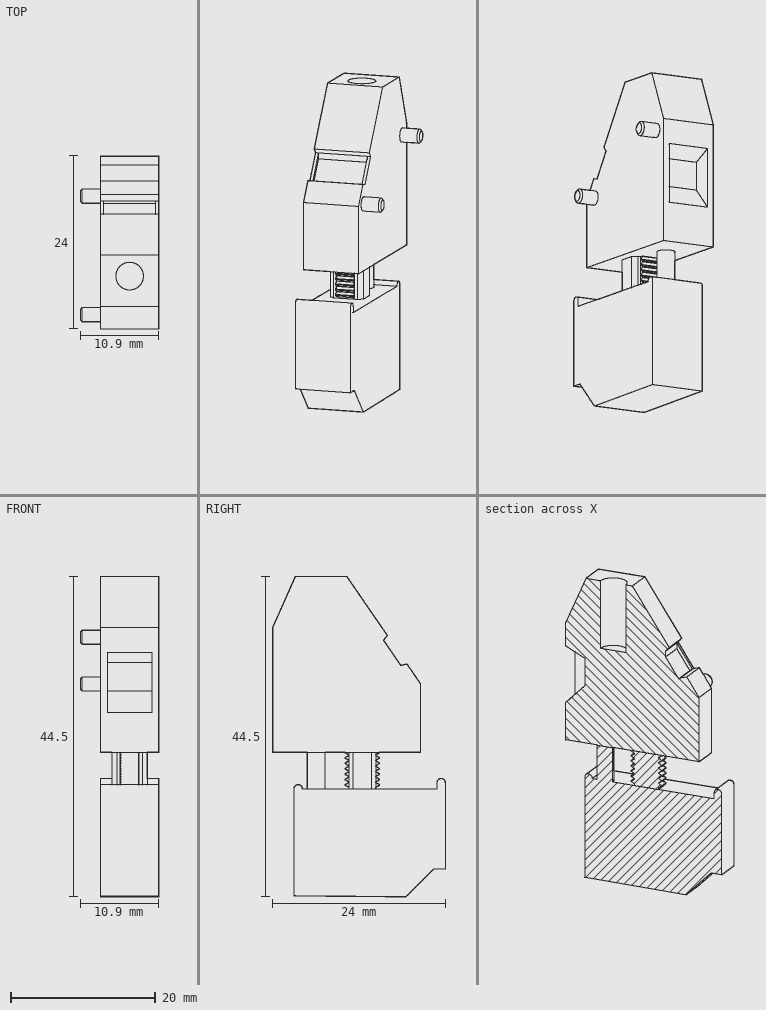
import cadquery as cq

WIDTH = 8.1
MID_X = WIDTH / 2
TOTAL_HEIGHT = 44.5

BASE_FRONT_Y = 2.95
BASE_BACK_Y = 24.0
DECK_Z = 15.0
BASE_FRONT_BOTTOM_Z = 0.13
BEVEL_BOTTOM_Y = 18.5
BEVEL_TOP_Y = 22.35
BEVEL_TOP_Z = 3.85
LIP_RADIUS = 0.6
FRONT_LIP_CENTER_Z = DECK_Z
BACK_LIP_CENTER_Z = 15.85

HOUSING_BOTTOM_Z = 20.05
HOUSING_BACK_Y = 20.54
FRONT_SHOULDER_Z = 37.4
TOP_FRONT_Y = 3.15
TOP_BACK_Y = 10.3
BACK_SHOULDER_Z = 29.6
BACK_SLOPE = (TOTAL_HEIGHT - BACK_SHOULDER_Z) / (HOUSING_BACK_Y - TOP_BACK_Y)

GROOVE_TOP_Y = 15.95
GROOVE_BOTTOM_Y = 18.65
GROOVE_FLOOR_TOP = (15.4, 35.65)
GROOVE_FLOOR_BOTTOM = (17.8, 32.14)

RECESS_SIDE_MARGIN = 0.45
RECESS_DROP = 0.85
RECESS_BEND = (17.07, 32.35)
RECESS_FOOT = (17.44, 31.9)

OPENING_WIDTH = 6.2
OPENING_DEPTH = 3.0
OPENING_BOTTOM_Z = 25.6
OPENING_TOP_Z = 33.95
OPENING_BACK_BOTTOM_Z = 28.6
OPENING_BACK_TOP_Z = 32.55

TOP_HOLE_DIAMETER = 3.84
TOP_HOLE_Y = 7.35
TOP_HOLE_DEPTH = 10.0

PIN_DIAMETER = 2.0
PIN_LENGTH = 2.8
PIN_CHAMFER = 0.27
PIN_CENTERS = [(2.0, 36.05), (18.45, 29.55)]

GAP_HEIGHT = HOUSING_BOTTOM_Z - DECK_Z
ROUND_POST_DIAMETER = 2.5
ROUND_POST_Y = 6.05
TOOTHED_POST_Y = 12.45
TOOTHED_POST_SIZE_X = 4.9
TOOTHED_POST_SIZE_Y = 3.74
TOOTHED_POST_CHAMFER_X = 0.69
TOOTHED_POST_CHAMFER_Y = 0.6
TOOTH_COUNT = 7
TOOTH_PITCH = 0.75
TOOTH_HEIGHT = 0.5
TOOTH_LENGTH = 2.65
TOOTH_ROOT_WIDTH = 0.7
TOOTH_CREST_WIDTH = 0.12


def back_slope_z(y):
    """Height of the housing's sloping back face at a given Y."""
    return TOTAL_HEIGHT - BACK_SLOPE * (y - TOP_BACK_Y)


def prism(points, start_x, width):
    """Extrude a YZ outline along +X from start_x."""
    return cq.Workplane("YZ", origin=(start_x, 0, 0)).polyline(points).close().extrude(width)


def make_base():
    front_lip_inner_y = BASE_FRONT_Y + 2 * LIP_RADIUS
    back_lip_inner_y = BASE_BACK_Y - 2 * LIP_RADIUS
    block = (
        cq.Workplane("YZ")
        .moveTo(BASE_FRONT_Y, BASE_FRONT_BOTTOM_Z)
        .lineTo(BEVEL_BOTTOM_Y, 0)
        .lineTo(BEVEL_TOP_Y, BEVEL_TOP_Z)
        .lineTo(BASE_BACK_Y, BEVEL_TOP_Z)
        .lineTo(BASE_BACK_Y, BACK_LIP_CENTER_Z)
        .threePointArc(
            (BASE_BACK_Y - LIP_RADIUS, BACK_LIP_CENTER_Z + LIP_RADIUS),
            (back_lip_inner_y, BACK_LIP_CENTER_Z),
        )
        .lineTo(back_lip_inner_y, DECK_Z)
        .lineTo(front_lip_inner_y, DECK_Z)
        .threePointArc(
            (BASE_FRONT_Y + LIP_RADIUS, FRONT_LIP_CENTER_Z + LIP_RADIUS),
            (BASE_FRONT_Y, FRONT_LIP_CENTER_Z),
        )
        .close()
        .extrude(WIDTH)
    )
    round_post = (
        cq.Workplane("XY", origin=(MID_X, ROUND_POST_Y, DECK_Z))
        .circle(ROUND_POST_DIAMETER / 2)
        .extrude(GAP_HEIGHT)
    )
    return block.union(round_post)


def make_housing_block():
    outline = [
        (0, HOUSING_BOTTOM_Z),
        (0, FRONT_SHOULDER_Z),
        (TOP_FRONT_Y, TOTAL_HEIGHT),
        (TOP_BACK_Y, TOTAL_HEIGHT),
        (GROOVE_TOP_Y, back_slope_z(GROOVE_TOP_Y)),
        GROOVE_FLOOR_TOP,
        GROOVE_FLOOR_BOTTOM,
        (GROOVE_BOTTOM_Y, back_slope_z(GROOVE_BOTTOM_Y)),
        (HOUSING_BACK_Y, BACK_SHOULDER_Z),
        (HOUSING_BACK_Y, HOUSING_BOTTOM_Z),
    ]
    return prism(outline, 0, WIDTH)


def make_groove_recess():
    floor_top_y, floor_top_z = GROOVE_FLOOR_TOP
    outline = [
        GROOVE_FLOOR_TOP,
        (floor_top_y, floor_top_z - RECESS_DROP),
        RECESS_BEND,
        RECESS_FOOT,
        GROOVE_FLOOR_BOTTOM,
    ]
    return prism(outline, RECESS_SIDE_MARGIN, WIDTH - 2 * RECESS_SIDE_MARGIN)


def make_front_opening():
    outline = [
        (0, OPENING_BOTTOM_Z),
        (OPENING_DEPTH, OPENING_BACK_BOTTOM_Z),
        (OPENING_DEPTH, OPENING_BACK_TOP_Z),
        (0, OPENING_TOP_Z),
    ]
    return prism(outline, MID_X - OPENING_WIDTH / 2, OPENING_WIDTH)


def make_top_hole():
    return (
        cq.Workplane("XY", origin=(MID_X, TOP_HOLE_Y, TOTAL_HEIGHT))
        .circle(TOP_HOLE_DIAMETER / 2)
        .extrude(-TOP_HOLE_DEPTH)
    )


def make_side_pin(y, z):
    return (
        cq.Workplane("YZ", origin=(0, y, z))
        .circle(PIN_DIAMETER / 2)
        .extrude(-PIN_LENGTH)
        .faces("<X")
        .chamfer(PIN_CHAMFER)
    )


def make_housing():
    housing = make_housing_block()
    for pocket in (make_groove_recess(), make_front_opening(), make_top_hole()):
        housing = housing.cut(pocket)
    for y, z in PIN_CENTERS:
        housing = housing.union(make_side_pin(y, z))
    return housing


def make_tooth(side, z):
    """Straight tooth along X on the post's +Y (side = 1) or -Y (side = -1) face, centred at height z."""
    root_y = TOOTHED_POST_Y + side * TOOTHED_POST_SIZE_Y / 2
    crest_y = root_y + side * TOOTH_HEIGHT
    outline = [
        (TOOTHED_POST_Y, z - TOOTH_ROOT_WIDTH / 2),
        (root_y, z - TOOTH_ROOT_WIDTH / 2),
        (crest_y, z - TOOTH_CREST_WIDTH / 2),
        (crest_y, z + TOOTH_CREST_WIDTH / 2),
        (root_y, z + TOOTH_ROOT_WIDTH / 2),
        (TOOTHED_POST_Y, z + TOOTH_ROOT_WIDTH / 2),
    ]
    return prism(outline, MID_X - TOOTH_LENGTH / 2, TOOTH_LENGTH)


def make_toothed_post():
    """Upright bar with chamfered corners and a row of teeth on its -Y and +Y faces."""
    half_x = TOOTHED_POST_SIZE_X / 2
    half_y = TOOTHED_POST_SIZE_Y / 2
    flat_x = half_x - TOOTHED_POST_CHAMFER_X
    flat_y = half_y - TOOTHED_POST_CHAMFER_Y
    section = [
        (half_x, -flat_y),
        (half_x, flat_y),
        (flat_x, half_y),
        (-flat_x, half_y),
        (-half_x, flat_y),
        (-half_x, -flat_y),
        (-flat_x, -half_y),
        (flat_x, -half_y),
    ]
    post = (
        cq.Workplane("XY", origin=(MID_X, TOOTHED_POST_Y, DECK_Z))
        .polyline(section)
        .close()
        .extrude(GAP_HEIGHT)
    )
    for index in range(TOOTH_COUNT):
        for side in (-1, 1):
            post = post.union(make_tooth(side, HOUSING_BOTTOM_Z - index * TOOTH_PITCH))
    return post.cut(make_housing_block())


base = make_base()
housing = make_housing()
toothed_post = make_toothed_post()

result = cq.Compound.makeCompound([
    base.solids().val(),
    housing.solids().val(),
    toothed_post.solids().val(),
])